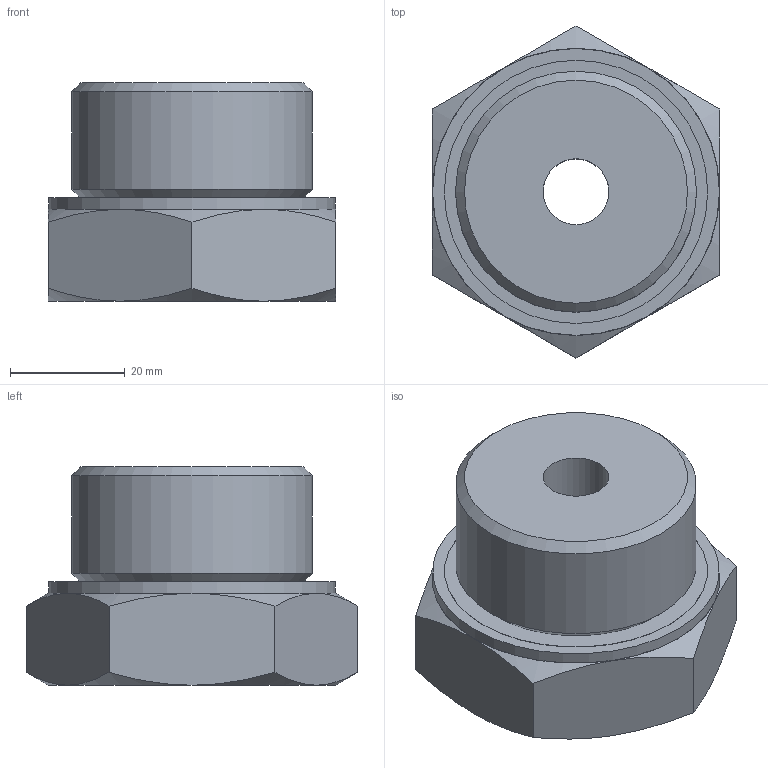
import cadquery as cq
import math

across_flats = 50.0
head_height = 16.0
head_chamfer_angle = 30.0
half_sector_angle = 30.0
across_corners = across_flats / math.cos(math.radians(half_sector_angle))

collar_diameter = 49.9
collar_height = 2.0
collar_top = head_height + collar_height
seal_groove_diameter = 45.8
seal_groove_depth = 0.1

total_height = 38.0
shank_diameter = 41.91
shank_end_diameter = 38.8

bore_diameter = 11.45


def make_head():
    """Hexagon with flats facing +X and -X, its corners turned down at both ends."""
    hexagon = (
        cq.Workplane("XY")
        .polygon(6, across_corners)
        .extrude(head_height)
        .rotate((0, 0, 0), (0, 0, 1), half_sector_angle)
    )
    flat_radius = across_flats / 2
    corner_radius = across_corners / 2
    drop = (corner_radius - flat_radius) * math.tan(math.radians(head_chamfer_angle))
    envelope = (
        cq.Workplane("XZ")
        .moveTo(0, 0)
        .lineTo(flat_radius, 0)
        .lineTo(corner_radius, drop)
        .lineTo(corner_radius, head_height - drop)
        .lineTo(flat_radius, head_height)
        .lineTo(0, head_height)
        .close()
        .revolve(360, (0, 0, 0), (0, 1, 0))
    )
    return hexagon.intersect(envelope)


def make_collar_and_shank():
    """Turned profile: collar, shallow seal groove and shank chamfered at both ends."""
    collar_radius = collar_diameter / 2
    groove_radius = seal_groove_diameter / 2
    groove_floor = collar_top - seal_groove_depth
    shank_radius = shank_diameter / 2
    end_radius = shank_end_diameter / 2
    end_chamfer = shank_radius - end_radius
    return (
        cq.Workplane("XZ")
        .moveTo(0, head_height)
        .lineTo(collar_radius, head_height)
        .lineTo(collar_radius, collar_top)
        .lineTo(groove_radius, collar_top)
        .lineTo(groove_radius, groove_floor)
        .lineTo(end_radius, groove_floor)
        .lineTo(shank_radius, groove_floor + end_chamfer)
        .lineTo(shank_radius, total_height - end_chamfer)
        .lineTo(end_radius, total_height)
        .lineTo(0, total_height)
        .close()
        .revolve(360, (0, 0, 0), (0, 1, 0))
    )


def make_bore():
    """Through hole along the axis."""
    return cq.Workplane("XY").circle(bore_diameter / 2).extrude(total_height)


result = make_head().union(make_collar_and_shank()).cut(make_bore())